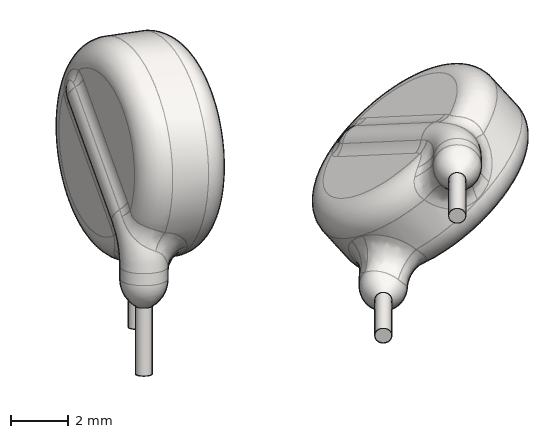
import cadquery as cq
import math

disc_radius = 4.0
disc_thickness = 3.4
disc_edge_radius = 1.0

pin_diameter = 0.6
pin_length = 2.5
pin_pitch = 5.05
overall_depth = 3.9

coat_radius = 0.85
coat_taper_height = 1.0
coat_bend_radius = 2.5
coat_start_distance = 2.44
blend_radius = 1.0

disc_center_z = disc_radius + coat_taper_height
pin_radius = pin_diameter / 2
pin_x = pin_pitch / 2
coat_axis_y = overall_depth / 2 - coat_radius

diagonal = math.cos(math.radians(45))
corner_z = disc_center_z - pin_x
half_bend = math.radians(45) / 2
bend_tangent = coat_bend_radius * math.tan(half_bend)
bend_start = (pin_x - bend_tangent * diagonal, corner_z + bend_tangent * diagonal)
bend_end = (pin_x, corner_z - bend_tangent)
bend_middle = (
    pin_x - coat_bend_radius * (1 - math.cos(half_bend)),
    bend_end[1] + coat_bend_radius * math.sin(half_bend),
)
coat_start = (-coat_start_distance * diagonal, disc_center_z + coat_start_distance * diagonal)

taper_step = coat_radius - pin_radius
taper_arc_radius = (taper_step**2 + coat_taper_height**2) / (2 * taper_step)
taper_half_angle = math.asin(coat_taper_height / taper_arc_radius) / 2
taper_middle = (
    coat_radius - taper_arc_radius * (1 - math.cos(taper_half_angle)),
    coat_taper_height - taper_arc_radius * math.sin(taper_half_angle),
)

side_turns = (0, 180)
contact_tolerance = 1e-3


def make_disc():
    return (
        cq.Workplane("XZ", origin=(0, disc_thickness / 2, disc_center_z))
        .circle(disc_radius)
        .extrude(disc_thickness)
        .faces("|Y")
        .edges()
        .fillet(disc_edge_radius)
    )


def make_lead_coat():
    """Coating of the front lead: round start, diagonal run, bend and tapered tip."""
    path = (
        cq.Workplane("XZ", origin=(0, -coat_axis_y, 0))
        .moveTo(*coat_start)
        .lineTo(*bend_start)
        .threePointArc(bend_middle, bend_end)
        .lineTo(pin_x, coat_taper_height)
    )
    start_plane = cq.Plane(
        origin=(coat_start[0], -coat_axis_y, coat_start[1]),
        xDir=(0, 1, 0),
        normal=(diagonal, 0, -diagonal),
    )
    tube = cq.Workplane(start_plane).circle(coat_radius).sweep(path)
    round_start = cq.Workplane(start_plane).sphere(coat_radius)
    taper = (
        cq.Workplane("XZ", origin=(pin_x, -coat_axis_y, 0))
        .moveTo(0, 0)
        .lineTo(pin_radius, 0)
        .threePointArc(taper_middle, (coat_radius, coat_taper_height))
        .lineTo(0, coat_taper_height)
        .close()
        .revolve()
    )
    return tube.union(round_start).union(taper)


def make_coated_body():
    """Disc and both lead coatings as one solid, blended where they meet."""
    disc = make_disc()
    front_coat = make_lead_coat()
    coats = [front_coat.rotate((0, 0, 0), (0, 0, 1), turn) for turn in side_turns]
    body = disc
    for coat in coats:
        body = body.union(coat)

    def is_seam(edge):
        """A seam lies both on the disc and on one of the coatings."""
        middle = cq.Vertex.makeVertex(*edge.positionAt(0.5).toTuple())
        on_disc = middle.distance(disc.val()) < contact_tolerance
        on_coat = any(middle.distance(coat.val()) < contact_tolerance for coat in coats)
        return on_disc and on_coat

    seam_edges = [edge for edge in body.edges().vals() if is_seam(edge)]
    return body.newObject(seam_edges).fillet(blend_radius)


def make_pin(turn):
    """Bare wire below the coating."""
    return (
        cq.Workplane("XY")
        .center(pin_x, -coat_axis_y)
        .circle(pin_radius)
        .extrude(-pin_length)
        .rotate((0, 0, 0), (0, 0, 1), turn)
    )


coated_body = make_coated_body()
pins = [make_pin(turn).val() for turn in side_turns]

result = cq.Compound.makeCompound([*coated_body.solids().vals(), *pins])